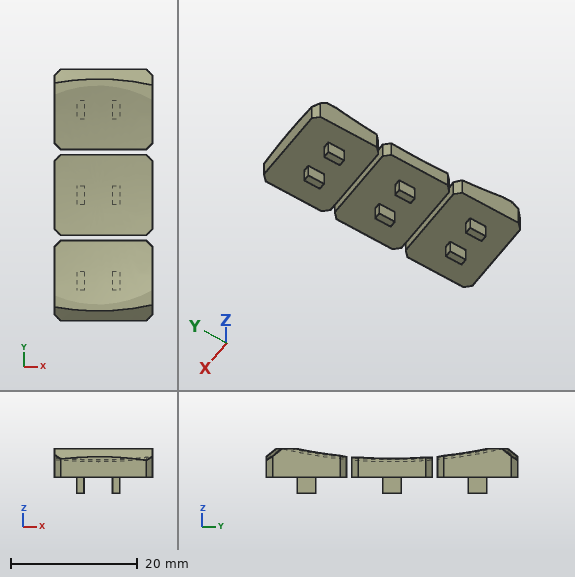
import cadquery as cq
import math


cap_width = 15.5
cap_depth = 12.72
cap_pitch = 13.5
end_cap_height = 4.55
middle_cap_height = 3.18
corner_chamfer = 1.0
cap_shift = 0.85

dish_radius = 75.13
dish_rim_radius = 17.3
dish_depth = dish_radius - math.sqrt(dish_radius**2 - dish_rim_radius**2)
dish_floor = end_cap_height - dish_depth

bevel_top_radius = 38.55
bevel_crest = 18.32
bevel_angle = 39.0

leg_width = 1.2
leg_depth = 3.0
leg_length = 2.5
leg_spacing = 5.65


def cap_blank(y_centre, height):
    """Full-height block with chamfered upright corners."""
    return (
        cq.Workplane("XY")
        .box(cap_width, cap_depth, height, centered=(True, True, False))
        .edges("|Z")
        .chamfer(corner_chamfer)
        .translate((cap_shift, y_centre, 0))
    )


def legs(y_centre):
    """Pair of rectangular legs below a cap."""
    return (
        cq.Workplane("XY")
        .center(0, y_centre)
        .rarray(leg_spacing, 0.4, 2, 1)
        .rect(leg_width, leg_depth)
        .extrude(-leg_length)
    )


def dish():
    """Sphere that hollows the tops of all three caps."""
    return cq.Workplane("XY").sphere(dish_radius).translate((0, 0, dish_floor + dish_radius))


def bevel_cone(side):
    """Cone whose inside is kept on the end cap at the given Y side (+1 or -1)."""
    bottom_radius = bevel_top_radius + end_cap_height / math.tan(math.radians(bevel_angle))
    cone = cq.Solid.makeCone(bottom_radius, bevel_top_radius, end_cap_height)
    return cq.Workplane(cone).translate((0, side * (bevel_crest - bevel_top_radius), 0))


def middle_keycap():
    return cap_blank(0, middle_cap_height).cut(dish()).union(legs(0))


def end_keycap(side):
    y_centre = side * cap_pitch
    blank = cap_blank(y_centre, end_cap_height)
    return blank.cut(dish()).intersect(bevel_cone(side)).union(legs(y_centre))


middle = middle_keycap()
ends = [end_keycap(side) for side in (-1, 1)]

result = cq.Compound.makeCompound([middle.val(), *[end.val() for end in ends]])